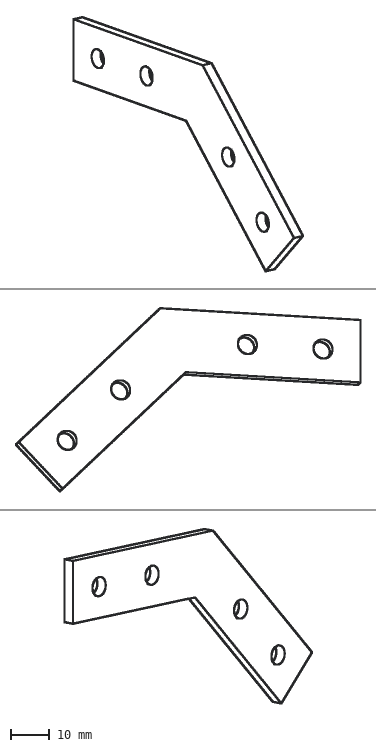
import cadquery as cq
import math

overall_length = 90.5
arm_width = 16.5
thickness = 3.0
bend_angle = 45.0
hole_diameter = 5.0
hole_distances_from_end = (9.95, 29.95)

bend = math.radians(bend_angle)
outer_edge = overall_length / (1 + math.cos(bend))
mitre_setback = arm_width * math.tan(bend / 2)


def on_sloping_arm(distance, depth):
    """Point a distance from the outer corner along the sloping arm, at a depth below its outer edge."""
    x = distance * math.cos(bend) - depth * math.sin(bend)
    z = -distance * math.sin(bend) - depth * math.cos(bend)
    return (x, z)


outline = [
    (0, 0),
    on_sloping_arm(outer_edge, 0),
    on_sloping_arm(outer_edge, arm_width),
    (-mitre_setback, -arm_width),
    (-outer_edge, -arm_width),
    (-outer_edge, 0),
]
plate = cq.Workplane("XZ").polyline(outline).close().extrude(thickness)

hole_centres = []
for end_distance in hole_distances_from_end:
    corner_distance = outer_edge - end_distance
    hole_centres.append((-corner_distance, -arm_width / 2))
    hole_centres.append(on_sloping_arm(corner_distance, arm_width / 2))

holes = cq.Workplane("XZ").pushPoints(hole_centres).circle(hole_diameter / 2).extrude(thickness)

result = plate.cut(holes)